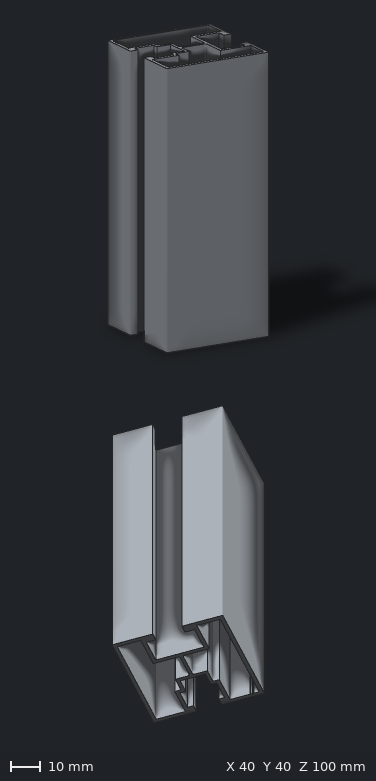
import cadquery as cq

side = 40.0
length = 100.0
half = side / 2
wall = 1.4
outer_radius = 0.3

top_opening = 10.5
top_slot_width = 17.4
top_slot_depth = 12.0
slot_floor = 1.3
lip = 3.0

bottom_opening = 9.1
bottom_slot_width = 13.3
step_height = 10.4
bottom_slot_depth = 15.8
thin_wall = 1.2

web = 1.1
inner_radius = 0.7
chamber_radius = 0.4
lip_radius = 0.2

mark_x = -16.0
mark_pitch = 0.5
mark_height = 0.4


def block(x_min, x_max, y_min, y_max):
    """Full-length rectangular block with the given X and Y limits."""
    return cq.Workplane("XY").box(
        x_max - x_min, y_max - y_min, length, centered=False
    ).translate((x_min, y_min, 0))


def centred_block(width, y_min, y_max):
    """Full-length block that straddles the YZ plane."""
    return block(-width / 2, width / 2, y_min, y_max)


def corner_edges(solid, corners):
    """Lengthwise edges of the solid at the given corners."""
    picked = solid.edges(cq.selectors.NearestToPointSelector((*corners[0], length / 2)))
    for corner in corners[1:]:
        picked = picked.add(
            solid.edges(cq.selectors.NearestToPointSelector((*corner, length / 2)))
        )
    return picked


def chamber():
    """The closed chamber on the +X side of the web."""
    top_floor = half - top_slot_depth - slot_floor
    step_top = -half + step_height + thin_wall
    neck_top = -half + bottom_slot_depth + thin_wall
    neck_side = bottom_opening / 2 + thin_wall
    slot_side = bottom_slot_width / 2 + wall
    web_side = web / 2

    space = block(web_side, half - wall, -half + wall, half - wall)
    space = space.cut(centred_block(top_slot_width + 2 * wall, top_floor, half))
    space = space.cut(centred_block(2 * neck_side, -half, neck_top))
    space = space.cut(centred_block(2 * slot_side, -half, step_top))
    rounded = [(web_side, top_floor), (web_side, neck_top), (neck_side, step_top)]
    space = corner_edges(space, rounded).fillet(inner_radius)
    outside = [(half - wall, half - wall), (half - wall, -half + wall)]
    return corner_edges(space, outside).fillet(chamber_radius)


def top_slot():
    inside = centred_block(top_slot_width, half - top_slot_depth, half - lip)
    return inside.union(centred_block(top_opening, half - lip, half))


def bottom_slot():
    inside = centred_block(bottom_slot_width, -half + lip, -half + step_height)
    return inside.union(centred_block(bottom_opening, -half, -half + bottom_slot_depth))


def mark_tooth(x, height):
    """Triangular prism on the chamber floor; a negative height points into the floor."""
    floor = -half + wall
    return (
        cq.Workplane("XY")
        .polyline([(x - mark_pitch / 2, floor), (x + mark_pitch / 2, floor), (x, floor + height)])
        .close()
        .extrude(length)
    )


body = centred_block(side, -half, half).edges("|Z").fillet(outer_radius)
right_chamber = chamber()
body = body.cut(right_chamber).cut(right_chamber.mirror("YZ"))
body = body.cut(top_slot()).cut(bottom_slot())
lip_corners = [(-bottom_opening / 2, -half), (bottom_opening / 2, -half)]
body = corner_edges(body, lip_corners).fillet(lip_radius)

body = body.cut(mark_tooth(mark_x, -mark_height))
for ridge_x in (mark_x - mark_pitch, mark_x + mark_pitch):
    body = body.union(mark_tooth(ridge_x, mark_height))

result = body